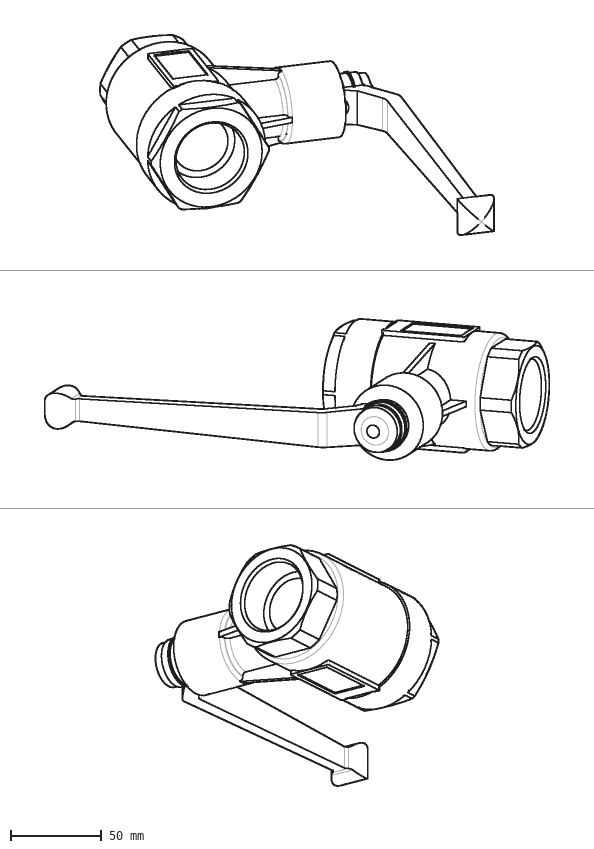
import cadquery as cq
import math


inlet_hex_end = 20.0
inlet_hex_half_flats = 27.5
inlet_hex_turned_radius = 30.0
inlet_chamfer_length = 1.7
inlet_chamfer_height = 2.7
barrel_end = 82.8
barrel_radius = 32.6
barrel_edge_fillet = 2.2
cap_end = 103.5
cap_diameter = 68.0
cap_radius = cap_diameter / 2
outlet_hex_half_flats = 30.0
outlet_chamfer_length = 2.07
outlet_chamfer_height = 4.6
body_length = 112.3

bore_radius = 15.8
port_radius = 19.7
port_depth = inlet_hex_end
port_chamfer_length = 2.0
port_chamfer_height = 1.5

pad_start = 35.3
pad_end = 83.8
pad_half_width = 13.0
pad_thickness = 65.5
pad_height = pad_thickness / 2
pad_corner_fillet = 1.0
recess_start = 38.2
recess_length = 35.3
recess_width = 20.0
recess_depth = 0.7

neck_radius = 16.8
collar_radius = 21.2
collar_bottom = 56.5
collar_fillet = 2.0
collar_top = 89.4
stem_x_doubled = 106.0
stem_x = stem_x_doubled / 2

rib_thickness = 3.2
rib_root_half_width = 31.2
rib_top_half_width = 21.5
rib_bottom = 14.9
rib_top = collar_bottom + collar_fillet

shaft_radius = 9.3
hub_bottom = 91.3
hub_radius = 13.6
hub_top = 103.0
hub_chamfer = 0.7
ring_y = 97.6
ring_radius = 14.4
ring_half_width = 0.5
nut_radius = 12.7
nut_top = 107.9
dome_base_radius = 8.0
dome_base = 109.5
dome_tip_radius = 3.7
dome_tip = 112.0

overall_length = 243.5
knob_diameter = 20.2
knob_radius = knob_diameter / 2
knob_x = overall_length - knob_radius
knob_y = 115.0
knob_neck_fillet = 2.5
lever_root_x = 56.0
lever_root_top = 103.7
lever_root_half_width = 10.5
lever_end_half_width = 6.0
lever_foot_x = 65.7
lever_heel = (68.5, 97.6)
lever_inner_bend = (83.3, 109.5)
lever_inner_end_y = 111.0
lever_slope_start_x = 62.0
lever_outer_bend_x = 80.4
lever_outer_y = 118.5
lever_bend_fillet = 7.3


def x_cylinder(start, end, radius):
    """Cylinder on the flow axis."""
    return cq.Workplane("YZ").workplane(offset=start).circle(radius).extrude(end - start)


def x_hexagon(start, end, half_flats):
    """Hexagonal prism on the flow axis with two flats facing +Z and -Z."""
    corner_diameter = 2 * half_flats / math.cos(math.pi / 6)
    return cq.Workplane("YZ").workplane(offset=start).polygon(6, corner_diameter).extrude(end - start)


def revolve_about_x(profile):
    """Solid of revolution from (x, radius) points."""
    return cq.Workplane("XY").polyline(profile).close().revolve(360, (0, 0, 0), (1, 0, 0))


def make_body():
    """Inlet hexagon, round barrel and end cap with a hexagonal outlet."""
    inlet_profile = [
        (0, 0),
        (0, inlet_hex_turned_radius - inlet_chamfer_height),
        (inlet_chamfer_length, inlet_hex_turned_radius),
        (inlet_hex_end, inlet_hex_turned_radius),
        (inlet_hex_end, 0),
    ]
    inlet_blank = revolve_about_x(inlet_profile)
    inlet = x_hexagon(0, inlet_hex_end, inlet_hex_half_flats).intersect(inlet_blank)
    barrel = x_cylinder(inlet_hex_end, barrel_end, barrel_radius)
    barrel = barrel.faces("<X").edges().fillet(barrel_edge_fillet)
    cap_profile = [
        (barrel_end, 0),
        (barrel_end, cap_radius),
        (body_length - outlet_chamfer_length, cap_radius),
        (body_length, cap_radius - outlet_chamfer_height),
        (body_length, 0),
    ]
    cap_blank = revolve_about_x(cap_profile)
    round_part = x_cylinder(barrel_end, cap_end, 2 * cap_radius)
    cap = x_hexagon(cap_end, body_length, outlet_hex_half_flats).union(round_part).intersect(cap_blank)
    return inlet.union(barrel).union(cap)


def make_pads():
    """One block through the body whose two ends form the recessed label pads."""
    return (
        cq.Workplane("XY")
        .box(pad_end - pad_start, 2 * pad_half_width, 2 * pad_height)
        .edges("|Z and <X")
        .fillet(pad_corner_fillet)
        .translate(((pad_start + pad_end) / 2, 0, 0))
    )


def make_recesses():
    """Shallow rectangular pockets in the two label pads."""
    recess = cq.Workplane("XY").box(recess_length, recess_width, 2 * recess_depth)
    recess_x = recess_start + recess_length / 2
    upper = recess.translate((recess_x, 0, pad_height))
    lower = recess.translate((recess_x, 0, -pad_height))
    return upper.union(lower)


def make_stem():
    """Neck, collar, shaft, hub, ring bead and domed nut turned about the stem axis."""
    neck_and_collar = (
        cq.Workplane("XY")
        .moveTo(0, rib_bottom)
        .lineTo(neck_radius, rib_bottom)
        .lineTo(neck_radius, collar_bottom - collar_fillet)
        .radiusArc((neck_radius + collar_fillet, collar_bottom), collar_fillet)
        .lineTo(collar_radius - collar_fillet, collar_bottom)
        .radiusArc((collar_radius, collar_bottom + collar_fillet), -collar_fillet)
        .lineTo(collar_radius, collar_top)
        .lineTo(0, collar_top)
        .close()
        .revolve(360, (0, 0, 0), (0, 1, 0))
    )
    hub_profile = [
        (0, collar_top),
        (shaft_radius, collar_top),
        (shaft_radius, hub_bottom),
        (hub_radius - hub_chamfer, hub_bottom),
        (hub_radius, hub_bottom + hub_chamfer),
        (hub_radius, ring_y - ring_half_width),
        (ring_radius, ring_y - ring_half_width),
        (ring_radius, ring_y + ring_half_width),
        (hub_radius, ring_y + ring_half_width),
        (hub_radius, hub_top),
        (nut_radius, hub_top),
        (nut_radius, nut_top),
        (dome_base_radius, dome_base),
        (dome_tip_radius, dome_tip),
        (0, dome_tip),
    ]
    hub = cq.Workplane("XY").polyline(hub_profile).close().revolve(360, (0, 0, 0), (0, 1, 0))
    return neck_and_collar.union(hub).translate((stem_x, 0, 0))


def make_ribs():
    """Two crossed tapered plates that stiffen the neck."""
    taper = (rib_root_half_width - rib_top_half_width) / rib_top
    half_width = rib_root_half_width - taper * rib_bottom
    outline = [
        (-half_width, rib_bottom),
        (half_width, rib_bottom),
        (rib_top_half_width, rib_top),
        (-rib_top_half_width, rib_top),
    ]
    plate = cq.Workplane("XY").polyline(outline).close().extrude(rib_thickness / 2, both=True)
    crossed = plate.union(plate.rotate((0, 0, 0), (0, 1, 0), 90))
    return crossed.translate((stem_x, 0, 0))


def extrude_with_knob(bar_outline, knob_center_y):
    """Extrude a flat bar outline both ways, join the round knob and fillet where they meet."""
    reach = overall_length
    bar = cq.Workplane("XY").polyline(bar_outline).close().extrude(reach, both=True)
    knob = cq.Workplane("XY").center(knob_x, knob_center_y).circle(knob_radius).extrude(reach, both=True)
    knob_neck = cq.selectors.BoxSelector(
        (knob_x - knob_radius, -reach, -reach),
        (knob_x - knob_radius / 2, reach, reach),
    )
    return bar.union(knob).edges("|Z").edges(knob_neck).fillet(knob_neck_fillet)


def make_lever():
    """Bent bar and knob: the bent XY outline intersected with the tapered XZ outline."""
    bent_outline = [
        (lever_root_x, hub_bottom),
        (lever_foot_x, hub_bottom),
        lever_heel,
        lever_inner_bend,
        (knob_x, lever_inner_end_y),
        (knob_x, lever_outer_y),
        (lever_outer_bend_x, lever_outer_y),
        (lever_slope_start_x, lever_root_top),
        (lever_root_x, lever_root_top),
    ]
    tapered_outline = [
        (lever_root_x, -lever_root_half_width),
        (knob_x, -lever_end_half_width),
        (knob_x, lever_end_half_width),
        (lever_root_x, lever_root_half_width),
    ]
    bends = cq.selectors.BoxSelector(
        (lever_heel[0], lever_root_top, -knob_radius),
        (knob_x / 2, overall_length, knob_radius),
    )
    bent = extrude_with_knob(bent_outline, knob_y)
    bent = bent.edges("|Z").edges(bends).fillet(lever_bend_fillet)
    tapered = extrude_with_knob(tapered_outline, 0).rotate((0, 0, 0), (1, 0, 0), 90)
    return bent.intersect(tapered)


def make_port(face_x, inward):
    """Chamfered socket that opens at face_x; inward is +1 or -1 along X."""
    profile = [
        (face_x, 0),
        (face_x, port_radius + port_chamfer_height),
        (face_x + inward * port_chamfer_length, port_radius),
        (face_x + inward * port_depth, port_radius),
        (face_x + inward * port_depth, 0),
    ]
    return revolve_about_x(profile)


result = (
    make_body()
    .union(make_pads())
    .union(make_ribs())
    .union(make_stem())
    .union(make_lever())
    .cut(make_recesses())
    .cut(x_cylinder(0, body_length, bore_radius))
    .cut(make_port(0, 1))
    .cut(make_port(body_length, -1))
)